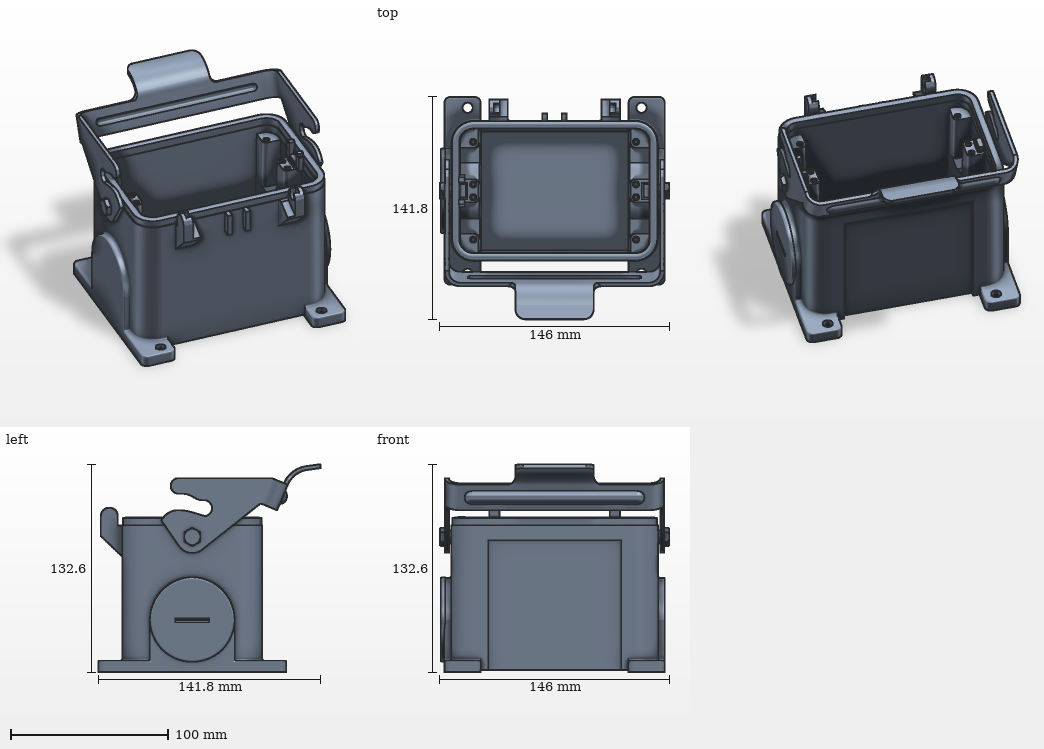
import cadquery as cq
import math

OVERLAP = 0.7
REACH = 116.8
NEAR = 0.1

BODY_X, BODY_Y, BODY_R = 65.8, 44.7, 14.6
BODY_BOTTOM, BODY_TOP = 1.3, 93.5
RIM_X, RIM_Y, RIM_R = 65.3, 44.2, 13.6
RIM_EDGE, RIM_CROWN = 98.1, 98.5
RIM_WIDTH = 4.5
PANEL_X, PANEL_TOP, PANEL_DEPTH = 42.3, 84.1, 2.8

WELL_X, WELL_Y = 48.6, 39.5
WELL_DRAFT = 1.2
FLOOR_Z = 4.2
HALL_X, HALL_R = 60.3, 8.6
POST_TOP = 87.3
LEDGE_Z = 53.7
CORNER_POST_Y, MIDDLE_POST_Y, POST_R = 27.5, 7.3, 2.9
SCREW_X, CORNER_SCREW_Y, MIDDLE_SCREW_Y = 51.8, 31.1, 4.1
SCREW_DIA, SCREW_CSK_DIA, SCREW_DEPTH = 2.8, 4.1, 17.5
STEP_X, STEP_Y, STEP_TOP = 55.6, 5.3, 88.8
BLOCK_X, BLOCK_Y, BLOCK_TOP = 56.6, 4.2, 91.0
CLIP_X, CLIP_Y0, CLIP_Y1, CLIP_Y2 = 57.2, 5.5, 8.6, 10.1
CLIP_TOP, CLIP_STEP = 99.1, 97.1

FOOT_INNER, FOOT_OUTER = 47.0, 70.2
FOOT_Y, FOOT_TOP, FOOT_R = 59.9, 7.5, 4.1
FOOT_ROUND = 1.0
FOOT_HOLE_X, FOOT_HOLE_Y, FOOT_HOLE_DIA = 55.3, 52.9, 6.4
ENTRY_Z, ENTRY_R = 33.1, 27.0
TUBE_R = 27.3
PLUG_R, PLUG_Z, PLUG_FACE, PLUG_ROUND = 27.0, 33.6, 72.5, 1.3
PLUG_SLOT_LENGTH, PLUG_SLOT_WIDTH, PLUG_SLOT_DEPTH = 21.6, 2.5, 1.3

ARM_TOP, ARM_SHOULDER_Y = 123.7, -50.8
ARM_HEEL, ARM_NOSE = (-43.4, 107.3), (19.7, 96.7)
FINGER_Y, FINGER_TIP, FINGER_LOW = 8.8, (13.7, 118.5), 113.6
SLOT_LIP_Y, SLOT_SWAY, SLOT_NECK = 6.5, (-1.3, 111.1), (-7.6, 109.5)
SLOT_BOTTOM, SLOT_RETURN = (-12.5, 104.5), (-8.2, 99.4)
LOBE_START, LOBE_TOP, LOBE_SIDE = (0, 101.9), (7.7, 103.2), (14.5, 101.9)
PIVOT_Z, PIVOT_R = 86.1, 10.2
ARM_OUTER, SHEET = 69.8, 2.6
BAND_TILT = 22.8
BAND_BOTTOM_Y, BAND_BOTTOM_Z = -54.0, 103.1
BAND_WIDTH, BAND_R = 17.7, 9.8
BEAD_R, BEAD_DEPTH, BEAD_END = 5.1, 2.3, 52.7
TAB_X, TAB_ROOT_R, TAB_TIP_R = 25.0, 5.5, 6.5
TAB_BEND_R, TAB_TIP_ANGLE, TAB_TIP_LENGTH = 18.1, 8.0, 9.0
BOLT_FLATS, BOLT_FACE, BOLT_SHANK_DIA = 10.2, 73.0, 8.5
BOLT_CHAMFER = 0.7

HOOK_NEAR, HOOK_SPLIT, HOOK_FAR = 29.8, 35.0, 41.8
HOOK_Y0, HOOK_Y1, HOOK_TOP = 47.3, 58.3, 104.8
HOOK_FLARE_R = 1.0
HOOK_CHIN_Z, HOOK_ROOT_Z, RAMP_END_Z = 86.7, 73.7, 88.3
HOOK_SLOT_WIDTH, HOOK_SLOT_DEPTH, HOOK_SLOT_BOTTOM = 6.1, 3.8, 97.2
RIB_PLACES, RIB_WIDTH, RIB_Y, RIB_BOTTOM = (-6.3, 6.1), 3.2, 49.3, 78.8


def block(x0, x1, y0, y1, z0, z1):
    return cq.Workplane("XY").box(x1 - x0, y1 - y0, z1 - z0, centered=False).translate((x0, y0, z0))


def rounded_block(half_x, half_y, radius, z0, z1):
    return block(-half_x, half_x, -half_y, half_y, z0, z1).edges("|Z").fillet(radius)


def both_ends(shape):
    return shape.union(shape.mirror("YZ"))


def side_plate(outline, x0, x1):
    """Extrude an outline drawn in (Y, Z) from x0 to x1."""
    return outline(cq.Workplane("YZ", origin=(x0, 0, 0))).close().extrude(x1 - x0)


def rod(diameter, z, x0, x1):
    return cq.Workplane("YZ", origin=(x0, 0, z)).circle(diameter / 2).extrude(x1 - x0)


def make_shell():
    shell = rounded_block(BODY_X, BODY_Y, BODY_R, BODY_BOTTOM, BODY_TOP)
    return shell.cut(block(-PANEL_X, PANEL_X, -BODY_Y, PANEL_DEPTH - BODY_Y, BODY_BOTTOM, PANEL_TOP))


def make_rim():
    """Rim around the opening, its top gently crowned between two level edges."""
    middle_x, middle_y = RIM_X - RIM_WIDTH / 2, RIM_Y - RIM_WIDTH / 2
    bend = RIM_R - RIM_WIDTH / 2
    path = cq.Workplane("XY").moveTo(middle_x, 0).lineTo(middle_x, middle_y - bend)
    for end_x, end_y, next_x, next_y in (
        (middle_x - bend, middle_y, bend - middle_x, middle_y),
        (-middle_x, middle_y - bend, -middle_x, bend - middle_y),
        (bend - middle_x, -middle_y, middle_x - bend, -middle_y),
        (middle_x, bend - middle_y, middle_x, 0),
    ):
        path = path.tangentArcPoint((end_x, end_y), relative=False).lineTo(next_x, next_y)
    section = (
        cq.Workplane("XZ")
        .moveTo(RIM_X - RIM_WIDTH, BODY_TOP - OVERLAP)
        .lineTo(RIM_X - RIM_WIDTH, RIM_EDGE)
        .threePointArc((middle_x, RIM_CROWN), (RIM_X, RIM_EDGE))
        .lineTo(RIM_X, BODY_TOP - OVERLAP)
        .close()
    )
    return section.sweep(path.wire())


def make_foot():
    """Foot strip and arched cable entry on the +X end, with rounded outer edges."""
    foot = block(FOOT_INNER, FOOT_OUTER, -FOOT_Y, FOOT_Y, 0, FOOT_TOP).edges("|Z").fillet(FOOT_R)
    start = BODY_X - OVERLAP

    def arch(plane):
        return (
            plane.moveTo(-ENTRY_R, 0)
            .lineTo(-ENTRY_R, ENTRY_Z)
            .threePointArc((0, ENTRY_Z + ENTRY_R), (ENTRY_R, ENTRY_Z))
            .lineTo(ENTRY_R, 0)
        )

    foot = foot.union(side_plate(arch, start, FOOT_OUTER)).clean()
    return foot.faces(">X").edges("not <Z").fillet(FOOT_ROUND)


def make_base():
    """Shell with its feet, entries and rear hooks, blended where they meet the shell."""
    base = make_shell().union(both_ends(make_foot()))
    for side in (-1, 1):
        foot_start = side * (FOOT_INNER + FOOT_ROUND + NEAR)
        foot_end = side * (FOOT_OUTER - FOOT_ROUND - NEAR)
        skin = side * BODY_X
        on_foot = ((foot_start, -BODY_Y - NEAR, FOOT_TOP - NEAR), (foot_end, BODY_Y + NEAR, FOOT_TOP + NEAR))
        on_entry = (
            (skin - NEAR, -ENTRY_R - NEAR, FOOT_TOP + NEAR),
            (skin + NEAR, ENTRY_R + NEAR, ENTRY_Z + ENTRY_R + NEAR),
        )
        seam = cq.selectors.BoxSelector(*on_foot) + cq.selectors.BoxSelector(*on_entry)
        base = base.edges(seam).fillet(FOOT_ROUND)
    for y0, y1 in ((BODY_Y, BODY_Y + 2 * FOOT_ROUND), (-BODY_Y - 2 * FOOT_ROUND, -BODY_Y)):
        base = base.cut(block(-FOOT_INNER, FOOT_INNER, y0, y1, 0, FOOT_TOP + 2 * FOOT_ROUND))
    base = base.union(both_ends(make_hook()))
    for side in (-1, 1):
        x = side * HOOK_NEAR
        root = cq.selectors.BoxSelector(
            (x - NEAR, BODY_Y - NEAR, HOOK_ROOT_Z), (x + NEAR, BODY_Y + NEAR, BODY_TOP - NEAR))
        base = base.edges(root).fillet(HOOK_FLARE_R)
    return base


def make_cavity():
    """Drafted well with a wider hall above the posts and a bay between each pair of posts."""
    def drafted(half_x, radius, bottom):
        outline = cq.Sketch().rect(2 * half_x, 2 * WELL_Y)
        if radius:
            outline = outline.vertices().fillet(radius)
        top = cq.Workplane("XY", origin=(0, 0, BODY_TOP))
        return top.placeSketch(outline).extrude(bottom - BODY_TOP, taper=WELL_DRAFT)

    well = drafted(WELL_X, 0, FLOOR_Z)
    hall = drafted(HALL_X, HALL_R, POST_TOP)
    mouth = rounded_block(
        RIM_X - RIM_WIDTH, RIM_Y - RIM_WIDTH, RIM_R - RIM_WIDTH, BODY_TOP - OVERLAP, BODY_TOP)
    cavity = well.union(hall).union(mouth)
    bays = ((MIDDLE_POST_Y, CORNER_POST_Y), (-CORNER_POST_Y, -MIDDLE_POST_Y))
    for y0, y1 in bays:
        cavity = cavity.union(both_ends(block(WELL_X - POST_R, HALL_X, y0, y1, LEDGE_Z, POST_TOP)))
    for side in (-1, 1):
        x = side * WELL_X
        pick = POST_R / 2
        for y in bays[0] + bays[1]:
            near = cq.selectors.BoxSelector(
                (x - pick, y - pick, LEDGE_Z), (x + pick, y + pick, POST_TOP))
            cavity = cavity.edges(near).fillet(POST_R)
    hump = rod(2 * TUBE_R, ENTRY_Z, -HALL_X - OVERLAP, HALL_X + OVERLAP).cut(well)
    return cavity.cut(hump)


def screw_holes():
    places = [
        (side * SCREW_X, end * y)
        for side in (-1, 1)
        for end in (-1, 1)
        for y in (CORNER_SCREW_Y, MIDDLE_SCREW_Y)
    ]
    top = cq.Workplane("XY", origin=(0, 0, POST_TOP)).pushPoints(places)
    bores = top.circle(SCREW_DIA / 2).extrude(-SCREW_DEPTH)
    cone_depth = (SCREW_CSK_DIA - SCREW_DIA) / 2
    cones = top.circle(SCREW_CSK_DIA / 2).extrude(-cone_depth, taper=45)
    return bores.union(cones)


def foot_holes():
    corners = cq.Workplane("XY").rect(2 * FOOT_HOLE_X, 2 * FOOT_HOLE_Y, forConstruction=True).vertices()
    return corners.circle(FOOT_HOLE_DIA / 2).extrude(FOOT_TOP)


def make_pivot_block():
    """Stepped block on top of the +X middle post."""
    x1, z0 = HALL_X + OVERLAP, POST_TOP - OVERLAP
    step = block(STEP_X, x1, -STEP_Y, STEP_Y, z0, STEP_TOP)
    return step.union(block(BLOCK_X, x1, -BLOCK_Y, BLOCK_Y, z0, BLOCK_TOP))


def make_clip():
    """Two stepped ears standing against the inside of the -X wall."""
    ears = cq.Workplane("XY")
    for y0, y1, top in ((CLIP_Y0, CLIP_Y1, CLIP_TOP), (CLIP_Y1, CLIP_Y2, CLIP_STEP)):
        ear = block(-HALL_X - OVERLAP, -CLIP_X, y0, y1, POST_TOP - OVERLAP, top)
        ears = ears.union(ear).union(ear.mirror("XZ"))
    return ears


def make_plug():
    """Round blanking plug on the -X entry, with a V-shaped screwdriver slot."""
    plug = rod(2 * PLUG_R, PLUG_Z, -PLUG_FACE, OVERLAP - FOOT_OUTER)
    plug = plug.faces("<X").edges().fillet(PLUG_ROUND)
    slot = (
        cq.Workplane("XZ", origin=(0, PLUG_SLOT_LENGTH / 2, 0))
        .moveTo(-PLUG_FACE, ENTRY_Z - PLUG_SLOT_WIDTH / 2)
        .lineTo(PLUG_SLOT_DEPTH - PLUG_FACE, ENTRY_Z)
        .lineTo(-PLUG_FACE, ENTRY_Z + PLUG_SLOT_WIDTH / 2)
        .close()
        .extrude(PLUG_SLOT_LENGTH)
    )
    return plug.cut(slot)


def pivot_tangent(y, z, side):
    """Point where the line from (y, z) touches the pivot end of the arm."""
    reach = math.hypot(y, z - PIVOT_Z)
    angle = math.atan2(z - PIVOT_Z, y) + side * math.acos(PIVOT_R / reach)
    return (PIVOT_R * math.cos(angle), PIVOT_Z + PIVOT_R * math.sin(angle))


def make_arm():
    """Flat arm on the +X side, with the S-shaped locking slot open to the rear."""
    tilt = math.radians(BAND_TILT)
    seam_low = (BAND_BOTTOM_Y + BAND_R * math.cos(tilt), BAND_BOTTOM_Z + BAND_R * math.sin(tilt))
    seam_high = (seam_low[0] - BAND_WIDTH * math.sin(tilt), seam_low[1] + BAND_WIDTH * math.cos(tilt))

    def outline(plane):
        return (
            plane.moveTo(*seam_high)
            .lineTo(ARM_SHOULDER_Y, ARM_TOP)
            .lineTo(FINGER_Y, ARM_TOP)
            .threePointArc(FINGER_TIP, (FINGER_Y, FINGER_LOW))
            .lineTo(SLOT_LIP_Y, FINGER_LOW)
            .tangentArcPoint(SLOT_SWAY, relative=False)
            .tangentArcPoint(SLOT_NECK, relative=False)
            .threePointArc(SLOT_BOTTOM, SLOT_RETURN)
            .lineTo(*LOBE_START)
            .tangentArcPoint(LOBE_TOP, relative=False)
            .threePointArc(LOBE_SIDE, ARM_NOSE)
            .lineTo(*pivot_tangent(*ARM_NOSE, -1))
            .threePointArc((0, PIVOT_Z - PIVOT_R), pivot_tangent(*ARM_HEEL, 1))
            .lineTo(*ARM_HEEL)
            .lineTo(*seam_low)
        )

    return side_plate(outline, ARM_OUTER - SHEET, ARM_OUTER)


def make_band():
    """Cross band joining the arms: bent at both ends, with a pressed-out bead."""
    tilt = math.radians(BAND_TILT)
    lift = (0, -math.sin(tilt), math.cos(tilt))
    plane = cq.Plane(origin=(0, BAND_BOTTOM_Y, BAND_BOTTOM_Z), xDir=(1, 0, 0), normal=lift)

    def hoop(inset):
        return rounded_block(ARM_OUTER - inset, 2 * BAND_R - inset, BAND_R - inset, 0, BAND_WIDTH)

    def capsule(radius):
        bar = rod(2 * radius, BAND_WIDTH / 2, -BEAD_END, BEAD_END)
        for x in (-BEAD_END, BEAD_END):
            bar = bar.union(cq.Workplane("XY").sphere(radius).translate((x, 0, BAND_WIDTH / 2)))
        return bar.translate((0, BEAD_DEPTH, 0))

    band = hoop(0).cut(hoop(SHEET)).translate((0, 2 * BAND_R, 0))
    band = band.intersect(block(-REACH, REACH, 0, BAND_R, 0, BAND_WIDTH))
    outside = block(-REACH, REACH, -BAND_R, SHEET, 0, BAND_WIDTH)
    band = band.union(capsule(BEAD_R).intersect(outside)).cut(capsule(BEAD_R - SHEET))
    return cq.Workplane(band.val().moved(cq.Location(plane)))


def make_tab():
    """Thumb tab curling outwards from the upper edge of the band."""
    tilt, tip = math.radians(BAND_TILT), math.radians(TAB_TIP_ANGLE)
    root_y = BAND_BOTTOM_Y - BAND_WIDTH * math.sin(tilt)
    root_z = BAND_BOTTOM_Z + BAND_WIDTH * math.cos(tilt)
    inner_r = TAB_BEND_R - SHEET
    centre_y, centre_z = root_y - inner_r * math.cos(tilt), root_z - inner_r * math.sin(tilt)

    def on_bend(radius, angle):
        return (centre_y + radius * math.cos(angle), centre_z + radius * math.sin(angle))

    end_angle = math.pi / 2 - tip
    middle_angle = (tilt + end_angle) / 2
    tip_y, tip_z = -TAB_TIP_LENGTH * math.cos(tip), TAB_TIP_LENGTH * math.sin(tip)
    upper_end, lower_end = on_bend(TAB_BEND_R, end_angle), on_bend(inner_r, end_angle)

    def outline(plane):
        return (
            plane.moveTo(*on_bend(TAB_BEND_R, tilt))
            .threePointArc(on_bend(TAB_BEND_R, middle_angle), upper_end)
            .lineTo(upper_end[0] + tip_y, upper_end[1] + tip_z)
            .lineTo(lower_end[0] + tip_y, lower_end[1] + tip_z)
            .lineTo(*lower_end)
            .threePointArc(on_bend(inner_r, middle_angle), (root_y, root_z))
        )

    wide = TAB_X + TAB_ROOT_R
    strip = side_plate(outline, -wide, wide)
    far_y = lower_end[0] + tip_y
    plan = block(-TAB_X, TAB_X, far_y, BAND_BOTTOM_Y, root_z, root_z + REACH)
    plan = plan.edges("|Z and <Y").fillet(TAB_TIP_R)
    root = block(-wide, wide, -REACH, 0, root_z - TAB_ROOT_R, root_z + TAB_ROOT_R)
    for x in (-wide, wide):
        flare = cq.Workplane("XZ", origin=(x, 0, root_z + TAB_ROOT_R)).circle(TAB_ROOT_R)
        root = root.cut(flare.extrude(REACH))
    return strip.intersect(plan.union(root))


def make_bolt():
    """Hexagon bolt on the +X side, a corner of its head pointing up."""
    corner_dia = BOLT_FLATS / math.cos(math.pi / 6)
    head = (
        cq.Workplane("YZ", origin=(ARM_OUTER - OVERLAP, 0, PIVOT_Z))
        .transformed(rotate=(0, 0, 90))
        .polygon(6, corner_dia)
        .extrude(BOLT_FACE - ARM_OUTER + OVERLAP)
    )
    rounding = rod(corner_dia, PIVOT_Z, 0, BOLT_FACE).faces(">X").chamfer(BOLT_CHAMFER)
    head = head.intersect(rounding)
    return head.union(rod(BOLT_SHANK_DIA, PIVOT_Z, BODY_X - OVERLAP, ARM_OUTER))


def make_hook():
    """Rear hook on the +X half: a slotted column beside a lower ramp."""
    wall = BODY_Y - OVERLAP
    middle = (HOOK_Y0 + HOOK_Y1) / 2
    nose_r = (HOOK_Y1 - HOOK_Y0) / 2

    def bracket(plane):
        return (
            plane.moveTo(wall, BODY_TOP)
            .lineTo(HOOK_Y0, BODY_TOP)
            .lineTo(HOOK_Y1, RAMP_END_Z)
            .lineTo(HOOK_Y1, HOOK_CHIN_Z)
            .lineTo(BODY_Y, HOOK_ROOT_Z)
            .lineTo(wall, HOOK_ROOT_Z)
        )

    def column(plane):
        return (
            plane.moveTo(HOOK_Y0, HOOK_CHIN_Z)
            .lineTo(HOOK_Y0, HOOK_TOP - nose_r)
            .threePointArc((middle, HOOK_TOP), (HOOK_Y1, HOOK_TOP - nose_r))
            .lineTo(HOOK_Y1, HOOK_CHIN_Z)
        )

    slot_r = HOOK_SLOT_WIDTH / 2
    slot_end = HOOK_SPLIT + HOOK_SLOT_DEPTH
    slot_z = HOOK_SLOT_BOTTOM + slot_r
    slot = block(HOOK_SPLIT, slot_end, -slot_r, slot_r, slot_z, HOOK_TOP)
    slot = slot.union(rod(HOOK_SLOT_WIDTH, slot_z, HOOK_SPLIT, slot_end)).translate((0, middle, 0))
    hook = side_plate(bracket, HOOK_NEAR, HOOK_FAR).union(side_plate(column, HOOK_SPLIT, HOOK_FAR))
    return hook.cut(slot)


def make_rear_rib(x):
    return block(x - RIB_WIDTH / 2, x + RIB_WIDTH / 2, BODY_Y - OVERLAP, RIB_Y, RIB_BOTTOM, BODY_TOP)


housing = make_base().union(make_rim())
housing = housing.cut(make_cavity()).cut(screw_holes()).cut(foot_holes())
housing = housing.union(both_ends(make_pivot_block())).union(make_clip()).union(make_plug())
for rib_x in RIB_PLACES:
    housing = housing.union(make_rear_rib(rib_x))

lever = make_band().union(make_tab()).union(both_ends(make_arm())).union(both_ends(make_bolt()))

result = housing.union(lever)